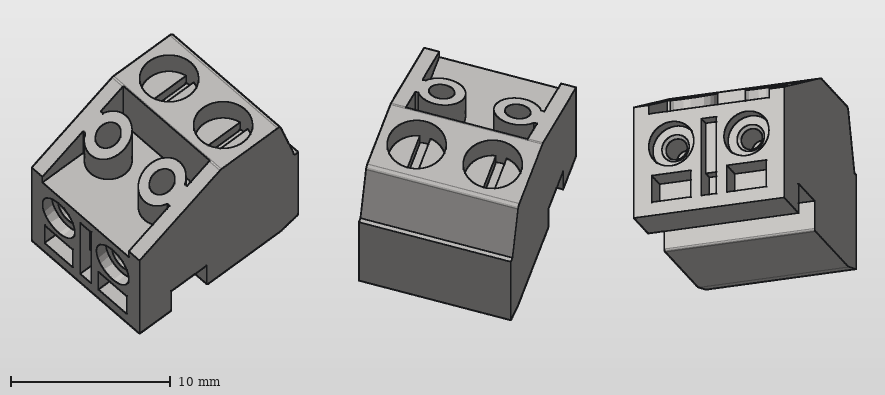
import cadquery as cq

WIDTH = 10.0
DEPTH = 13.5
HEIGHT = 10.8

POLE_PITCH = WIDTH / 2
POLE_CENTERS = [POLE_PITCH / 2, POLE_PITCH * 3 / 2]

FRONT_HEIGHT = 7.5
ROOF_FRONT_Y = 6.9
ROOF_REAR_Y = 11.96
REAR_LEDGE = 0.32
REAR_LEDGE_Z = 6.82
REAR_BEVEL_LENGTH = 1.5
REAR_BEVEL_HEIGHT = 0.42
ROOF_FILLET = 0.3

CHANNEL_START_Y = 2.7
CHANNEL_WIDTH = 3.0
CHANNEL_HEIGHT = 2.0
CHANNEL_FILLET = 0.15

WALL = 1.0
RECESS_DEPTH_Y = 6.88
RECESS_FLOOR_Z = 6.93
POST_Y = 4.21
POST_DIAMETER = 3.0
POST_BORE = 1.6
POST_WEB = 1.5

SCREW_Y = 9.4
SCREW_WELL_DIAMETER = 3.7
SCREW_HEAD_DIAMETER = 3.6
SCREW_HEAD_SINK = 1.6
DRIVER_SLOT_WIDTH = 0.7
DRIVER_SLOT_DEPTH = 0.8

PORT_Z = 4.7
PORT_DIAMETER = 3.0
PORT_DEPTH = 0.8
CONTACT_DIAMETER = 1.4
CONTACT_CHAMFER = 0.2
CONTACT_DEPTH = 2.2

POCKET_BOTTOM_Z = 0.9
POCKET_HEIGHT = 1.81
POCKET_DEPTH = 1.5
WINDOW_WIDTH = 2.62
KEYWAY_WIDTH = 1.0
KEYWAY_HEIGHT = 5.21
KEYWAY_DEPTH = 0.8


def box(x_center, width, y_start, y_end, z_start, z_end):
    """Box centred on x_center, with its other extents given by start and end."""
    corner = (x_center - width / 2, y_start, z_start)
    return cq.Workplane("XY").box(width, y_end - y_start, z_end - z_start, centered=False).translate(corner)


def upright_cylinder(x, y, diameter, z_start, z_end):
    base = cq.Workplane("XY", origin=(x, y, z_start))
    return base.circle(diameter / 2).extrude(z_end - z_start)


def front_bore(x, diameter, y_start, depth):
    """Cylinder along +Y at port height."""
    plane = cq.Plane(origin=(x, y_start, PORT_Z), xDir=(1, 0, 0), normal=(0, 1, 0))
    return cq.Workplane(plane).circle(diameter / 2).extrude(depth)


def make_envelope():
    """Outer block without any recess, extruded across the full width."""
    channel_end_y = CHANNEL_START_Y + CHANNEL_WIDTH
    profile = [
        (0, 0),
        (CHANNEL_START_Y, 0),
        (CHANNEL_START_Y, CHANNEL_HEIGHT),
        (channel_end_y, CHANNEL_HEIGHT),
        (channel_end_y, 0),
        (DEPTH - REAR_BEVEL_LENGTH, 0),
        (DEPTH, REAR_BEVEL_HEIGHT),
        (DEPTH, REAR_LEDGE_Z),
        (DEPTH - REAR_LEDGE, REAR_LEDGE_Z),
        (ROOF_REAR_Y, HEIGHT),
        (ROOF_FRONT_Y, HEIGHT),
        (0, FRONT_HEIGHT),
    ]
    block = cq.Workplane("YZ").polyline(profile).close().extrude(WIDTH)
    block = block.faces(">Z").edges("|X").fillet(ROOF_FILLET)
    channel_edge = cq.selectors.NearestToPointSelector((WIDTH / 2, channel_end_y, 0))
    return block.edges(channel_edge).fillet(CHANNEL_FILLET)


def make_posts(envelope):
    """Posts and the webs tying them to the side walls, trimmed by the sloped top."""
    posts = cq.Workplane("XY")
    for x in POLE_CENTERS:
        side_wall_x = 0 if x < WIDTH / 2 else WIDTH
        web = box(
            (x + side_wall_x) / 2, abs(x - side_wall_x),
            POST_Y - POST_WEB / 2, POST_Y + POST_WEB / 2,
            RECESS_FLOOR_Z, HEIGHT,
        )
        posts = posts.add(upright_cylinder(x, POST_Y, POST_DIAMETER, RECESS_FLOOR_Z, HEIGHT).union(web))
    return posts.combine().intersect(envelope)


def cut_screw_well(body, x):
    """Round well whose floor carries the two half-moons of a slotted screw head."""
    head_top = HEIGHT - SCREW_HEAD_SINK
    well_floor = head_top - DRIVER_SLOT_DEPTH
    head_radius = SCREW_HEAD_DIAMETER / 2
    well = upright_cylinder(x, SCREW_Y, SCREW_WELL_DIAMETER, well_floor, HEIGHT)
    head = upright_cylinder(x, SCREW_Y, SCREW_HEAD_DIAMETER, well_floor, head_top)
    slot = box(
        x, DRIVER_SLOT_WIDTH,
        SCREW_Y - head_radius, SCREW_Y + head_radius,
        well_floor, head_top,
    )
    return body.cut(well.cut(head.cut(slot)))


def cut_port(body, x):
    """Counterbore, then a chamfered blind contact hole."""
    mouth_radius = CONTACT_DIAMETER / 2 + CONTACT_CHAMFER
    countersink = cq.Workplane(
        cq.Solid.makeCone(
            mouth_radius, CONTACT_DIAMETER / 2, CONTACT_CHAMFER,
            pnt=cq.Vector(x, PORT_DEPTH, PORT_Z), dir=cq.Vector(0, 1, 0),
        )
    )
    contact = front_bore(x, CONTACT_DIAMETER, PORT_DEPTH, CONTACT_DEPTH)
    return body.cut(front_bore(x, PORT_DIAMETER, 0, PORT_DEPTH)).cut(countersink).cut(contact)


def cut_front_pocket(body, x, width, height, depth):
    return body.cut(box(x, width, 0, depth, POCKET_BOTTOM_Z, POCKET_BOTTOM_Z + height))


envelope = make_envelope()
recess = box(WIDTH / 2, WIDTH - 2 * WALL, 0, RECESS_DEPTH_Y, RECESS_FLOOR_Z, HEIGHT)
result = envelope.cut(recess).union(make_posts(envelope))

for pole_x in POLE_CENTERS:
    result = result.cut(upright_cylinder(pole_x, POST_Y, POST_BORE, 0, HEIGHT))
    result = cut_screw_well(result, pole_x)
    result = cut_port(result, pole_x)
    result = cut_front_pocket(result, pole_x, WINDOW_WIDTH, POCKET_HEIGHT, POCKET_DEPTH)

result = cut_front_pocket(result, WIDTH / 2, KEYWAY_WIDTH, KEYWAY_HEIGHT, KEYWAY_DEPTH)
result = cut_front_pocket(result, WIDTH / 2, KEYWAY_WIDTH, POCKET_HEIGHT, POCKET_DEPTH)